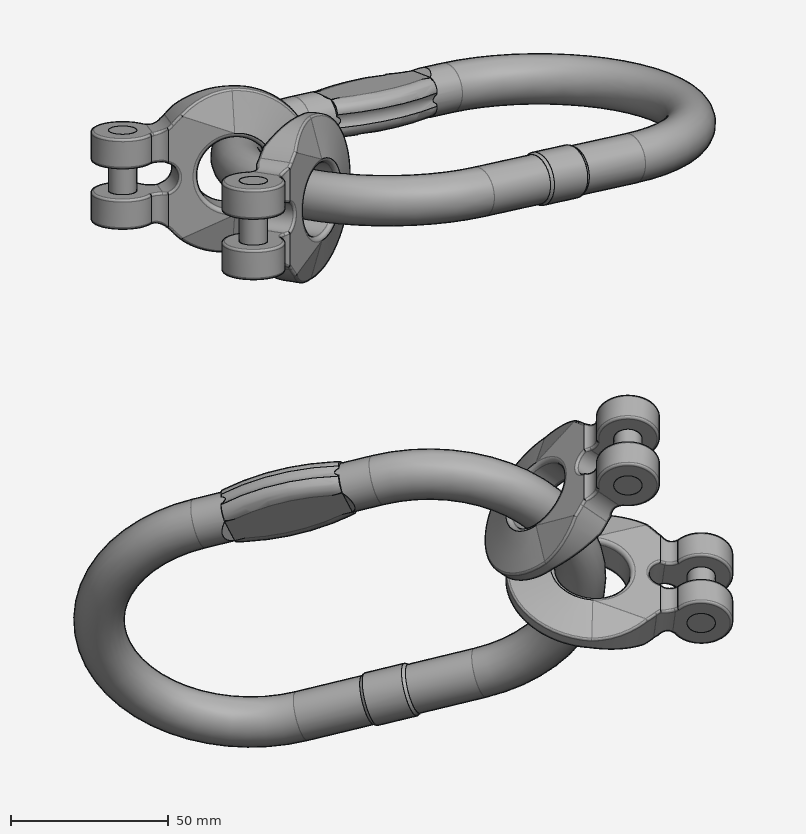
import cadquery as cq
import math

WIRE_DIA = 16
WIRE_R = WIRE_DIA / 2
BEND_R = 48
STRAIGHT_LENGTH = 60

COLLAR_DIA = 17.2
COLLAR_LENGTH = 15.4
COLLAR_TAPER = 1.1

SWELL_HALF_WIDTH = 11.15
SWELL_ARC_R = 68
SWELL_CORNER_R = 4.25
FLAT_HEIGHT = 6.45
FLAT_HALF_LENGTH = 19.8
FLAT_RUNOUT = 2.2
FLANK_GROOVE_DEPTH = 0.6

EYE_OUTER_R = 27
EYE_HOLE_DIA = 24
EYE_HOLE_R = EYE_HOLE_DIA / 2
EYE_HOLE_ROUND = 1.5
PLATE_HALF = 6
RIM_HALF = 2
TAPER_START_R = EYE_HOLE_R + EYE_HOLE_ROUND
TAPER_EDGE_RUN = 16.5
TAPER_EDGE_RISE = 6.5

LUG_X = 35
LUG_R = 10
FORK_HALF_WIDTH = 15
FORK_GAP = 10
FORK_GAP_R = FORK_GAP / 2
FORK_GAP_START = 18
SHOULDER_R = 8
NECK_HALF = 4.9
NECK_BLEND_R = 4
EDGE_ROUND = 0.8

PIN_DIA = 9

SHACKLE_TILT = 25
EYE_CENTRE_X = -19.5
EYE_CENTRE_Y = -77.54


def wire_loop():
    """Plain oblong ring of round wire."""
    half = STRAIGHT_LENGTH / 2
    path = (
        cq.Workplane("XY")
        .moveTo(BEND_R, -half)
        .lineTo(BEND_R, half)
        .threePointArc((0, half + BEND_R), (-BEND_R, half))
        .lineTo(-BEND_R, -half)
        .threePointArc((0, -half - BEND_R), (BEND_R, -half))
        .close()
    )
    return cq.Workplane("XZ", origin=(BEND_R, -half, 0)).circle(WIRE_R).sweep(path)


def weld_collar():
    """Slightly larger sleeve with conical ends around the +X straight."""
    collar_r = COLLAR_DIA / 2
    end = COLLAR_LENGTH / 2
    return (
        cq.Workplane("XY")
        .polyline([
            (0, -end),
            (WIRE_R, -end),
            (collar_r, COLLAR_TAPER - end),
            (collar_r, end - COLLAR_TAPER),
            (WIRE_R, end),
            (0, end),
        ])
        .close()
        .revolve(360, (0, 0, 0), (0, 1, 0))
        .translate((BEND_R, 0, 0))
    )


def swell_disc():
    """Large rounded-edge disc whose +X rim forms one flank of the swelling."""
    axis_x = SWELL_HALF_WIDTH - SWELL_ARC_R
    corner_x = SWELL_HALF_WIDTH - SWELL_CORNER_R
    crest_z = FLAT_HEIGHT - SWELL_CORNER_R
    diagonal = SWELL_CORNER_R * math.sqrt(0.5)
    return (
        cq.Workplane("XZ")
        .moveTo(axis_x, -FLAT_HEIGHT)
        .lineTo(corner_x, -FLAT_HEIGHT)
        .threePointArc((corner_x + diagonal, -crest_z - diagonal), (SWELL_HALF_WIDTH, -crest_z))
        .threePointArc((SWELL_HALF_WIDTH - FLANK_GROOVE_DEPTH, 0), (SWELL_HALF_WIDTH, crest_z))
        .threePointArc((corner_x + diagonal, crest_z + diagonal), (corner_x, FLAT_HEIGHT))
        .lineTo(axis_x, FLAT_HEIGHT)
        .close()
        .revolve(360, (axis_x, 0, 0), (axis_x, 1, 0))
    )


def name_plate_swelling():
    """Lens between two facing discs, limited to the length of the flats."""
    disc = swell_disc()
    limit = cq.Workplane("XY").box(4 * WIRE_R, 2 * FLAT_HALF_LENGTH, 4 * WIRE_R)
    return disc.intersect(disc.mirror("YZ")).intersect(limit).translate((-BEND_R, 0, 0))


def name_plate_flat_cut():
    """Material removed above the upper flat, with sloped ends."""
    top_half_length = FLAT_HALF_LENGTH + FLAT_RUNOUT
    return (
        cq.Workplane("YZ")
        .polyline([
            (-FLAT_HALF_LENGTH, FLAT_HEIGHT),
            (FLAT_HALF_LENGTH, FLAT_HEIGHT),
            (top_half_length, WIRE_R),
            (-top_half_length, WIRE_R),
        ])
        .close()
        .extrude(WIRE_R, both=True)
        .translate((-BEND_R, 0, 0))
    )


def make_master_link():
    flat_cut = name_plate_flat_cut()
    return (
        wire_loop()
        .cut(flat_cut)
        .cut(flat_cut.mirror("XY"))
        .union(name_plate_swelling())
        .union(weld_collar())
    )


def shackle_face_outline():
    """Eye disc running into the fork, seen along the plate thickness."""
    blend_z = FORK_HALF_WIDTH + SHOULDER_R
    blend_reach = EYE_OUTER_R + SHOULDER_R
    blend_x = math.sqrt(blend_reach**2 - blend_z**2)
    touch_x = blend_x * EYE_OUTER_R / blend_reach
    touch_z = blend_z * EYE_OUTER_R / blend_reach
    mid_angle = (math.atan2(-blend_z, -blend_x) - math.pi / 2) / 2
    mid_x = blend_x + SHOULDER_R * math.cos(mid_angle)
    mid_z = blend_z + SHOULDER_R * math.sin(mid_angle)
    fork_end = LUG_X + LUG_R
    return (
        cq.Workplane("XZ")
        .moveTo(touch_x, touch_z)
        .threePointArc((mid_x, mid_z), (blend_x, FORK_HALF_WIDTH))
        .lineTo(fork_end, FORK_HALF_WIDTH)
        .lineTo(fork_end, -FORK_HALF_WIDTH)
        .lineTo(blend_x, -FORK_HALF_WIDTH)
        .threePointArc((mid_x, -mid_z), (touch_x, -touch_z))
        .threePointArc((-EYE_OUTER_R, 0), (touch_x, touch_z))
        .close()
        .extrude(LUG_R, both=True)
    )


def shackle_edge_outline():
    """Flat plate necking into the round lugs, seen along the pin."""
    blend_y = NECK_HALF + NECK_BLEND_R
    blend_x = LUG_X - math.sqrt((LUG_R + NECK_BLEND_R) ** 2 - blend_y**2)
    plate_length = EYE_OUTER_R + LUG_X
    plate = (
        cq.Workplane("XY")
        .rect(plate_length, 2 * PLATE_HALF)
        .extrude(EYE_OUTER_R, both=True)
        .translate(((LUG_X - EYE_OUTER_R) / 2, 0, 0))
    )
    neck_cut = (
        cq.Workplane("XY")
        .pushPoints([(blend_x, blend_y), (blend_x, -blend_y)])
        .circle(NECK_BLEND_R)
        .extrude(EYE_OUTER_R, both=True)
    )
    lug = (
        cq.Workplane("XY", origin=(LUG_X, 0, -FORK_HALF_WIDTH))
        .circle(LUG_R)
        .extrude(2 * FORK_HALF_WIDTH)
    )
    return plate.cut(neck_cut).union(lug)


def fork_gap():
    """Round-bottomed slot between the two lugs."""
    slot_centre = FORK_GAP_START + FORK_GAP_R
    slot_end = LUG_X + 2 * LUG_R
    round_bottom = cq.Workplane("XZ").center(slot_centre, 0).circle(FORK_GAP_R).extrude(LUG_R, both=True)
    opening = cq.Workplane("XY").box(slot_end - slot_centre, 2 * LUG_R, FORK_GAP)
    return round_bottom.union(opening.translate(((slot_end + slot_centre) / 2, 0, 0)))


def taper_wedge_points():
    """Triangle (distance from eye centre, distance from mid plane) above the tapered face."""
    slope = (PLATE_HALF - RIM_HALF) / (EYE_OUTER_R - TAPER_START_R)
    far_r = EYE_OUTER_R + LUG_R
    far_y = PLATE_HALF - slope * (far_r - TAPER_START_R)
    return [(TAPER_START_R, PLATE_HALF), (far_r, far_y), (far_r, PLATE_HALF)]


def far_taper():
    """Conical taper of the half of the eye that faces away from the fork."""
    wedge = [(0, y, r) for r, y in taper_wedge_points()]
    wire = cq.Wire.makePolygon([cq.Vector(*p) for p in wedge], close=True)
    ring = cq.Solid.revolve(wire, [], -180, cq.Vector(0, 0, 0), cq.Vector(0, 1, 0))
    return cq.Workplane(ring)


def near_taper():
    """Planar taper that fades out towards the fork, in the +Y +Z quarter."""
    wedge = [cq.Vector(0, y, r) for r, y in taper_wedge_points()]
    wire = cq.Wire.makePolygon(wedge, close=True)
    run = cq.Vector(TAPER_EDGE_RUN, 0, TAPER_EDGE_RISE) * 2
    return cq.Workplane(cq.Solid.extrudeLinear(wire, [], run))


def on_outline(point):
    """True where a point lies on the eye rim, a fork side or a wall of the fork gap."""
    tolerance = 0.01
    height = abs(point.z)
    slot_centre = FORK_GAP_START + FORK_GAP_R
    on_rim = abs(math.hypot(point.x, point.z) - EYE_OUTER_R) < tolerance
    on_fork_side = height > FORK_HALF_WIDTH - tolerance
    on_gap_wall = point.x > slot_centre - tolerance and abs(height - FORK_GAP_R) < tolerance
    on_gap_bottom = abs(math.hypot(point.x - slot_centre, point.z) - FORK_GAP_R) < tolerance
    return on_rim or on_fork_side or on_gap_wall or on_gap_bottom


def runs_along_outline(edge):
    """True for an edge that follows the outline rather than crossing the plate thickness."""
    start = edge.startPoint()
    end = edge.endPoint()
    crosses = edge.geomType() == "LINE" and abs(start.y - end.y) > PLATE_HALF / 2
    return not crosses and all(on_outline(p) for p in (start, edge.positionAt(0.5), end))


def make_shackle():
    """Shackle in its own frame."""
    body = shackle_face_outline().intersect(shackle_edge_outline())
    eye_hole = cq.Workplane("XZ").circle(EYE_HOLE_R).extrude(LUG_R, both=True)
    body = body.cut(eye_hole)
    hole_edges = cq.selectors.BoxSelector(
        (-TAPER_START_R, -LUG_R, -TAPER_START_R),
        (TAPER_START_R, LUG_R, TAPER_START_R),
        boundingbox=True,
    )
    body = body.edges(hole_edges).edges("%CIRCLE").fillet(EYE_HOLE_ROUND)
    for cone in (far_taper(), far_taper().mirror("XZ")):
        body = body.cut(cone)
    upper = near_taper()
    for wedge in (upper, upper.mirror("XZ")):
        body = body.cut(wedge).cut(wedge.mirror("XY"))
    body = body.cut(fork_gap()).solids()
    outline_edges = [edge for edge in body.edges().vals() if runs_along_outline(edge)]
    body = body.newObject(outline_edges).fillet(EDGE_ROUND)
    pin_hole = cq.Workplane("XY").center(LUG_X, 0).circle(PIN_DIA / 2).extrude(EYE_OUTER_R, both=True)
    return body.cut(pin_hole)


def make_pin():
    """Clevis pin flush with the outer lug faces, in the shackle frame."""
    base = cq.Workplane("XY", origin=(LUG_X, 0, -FORK_HALF_WIDTH))
    return base.circle(PIN_DIA / 2).extrude(2 * FORK_HALF_WIDTH)


def place_on_link(body):
    """Move a body from the shackle frame to the -X shackle position."""
    fork_heading = 270 - SHACKLE_TILT
    return body.rotate((0, 0, 0), (0, 0, 1), fork_heading).translate((EYE_CENTRE_X, EYE_CENTRE_Y, 0))


master_link = make_master_link()
bodies = master_link.solids().vals()
for make_body in (make_shackle, make_pin):
    left_body = place_on_link(make_body())
    right_body = left_body.mirror("YZ")
    bodies += left_body.solids().vals() + right_body.solids().vals()

result = cq.Compound.makeCompound(bodies)